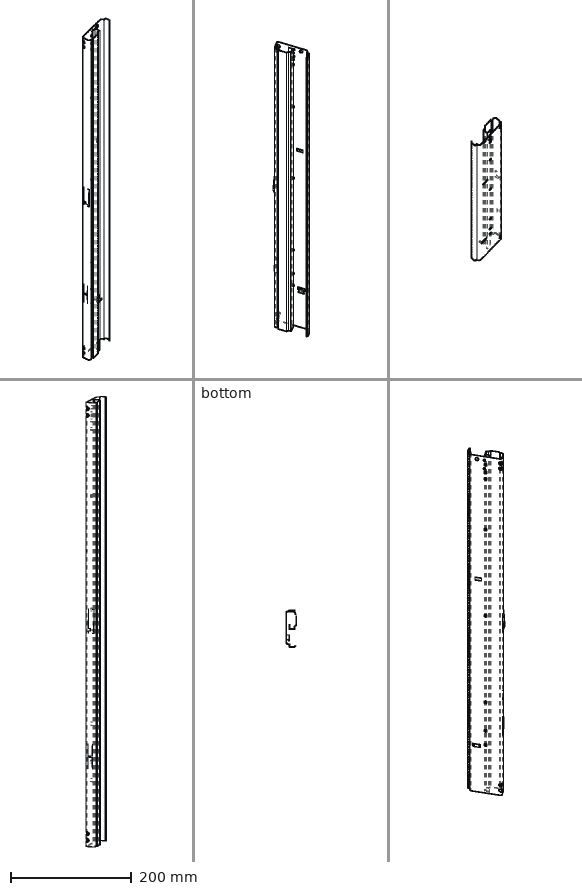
import cadquery as cq
import math

length = 750.0
width = 18.0
depth = 62.0
latch_height = 1.9
sheet = 1.5

left = -width / 2
right = width / 2
back = depth / 2
front = -depth / 2 + latch_height
bottom = -length / 2
top = length / 2

step_depth = 4.5
step_x = left + 5.0
flange_end_x = 5.0
lip_reach = 2.0
housing_right = right - sheet
return_end_y = front + 6.0
front_left_radius = 3.0
front_right_radius = 4.5
left_back_radius = 4.5
step_radius = 2.0

seam_gap = 2.0
strip_back_y = 1.5
strip_lip_end_y = -7.0
strip_jog_x = right - 3.0
strip_jog_start_y = strip_back_y - 4.5
strip_jog_end_y = strip_back_y - 7.5

row_y = -1.1
row_diameter = 5.0
row_heights = [357.0, 340.0, 325.5, 212.0, 20.0, -172.5, -236.0, -268.0]
pilot_diameter = 4.0
pilot_centres = [(1.0, 367.0), (1.0, 348.0)]
locating_hole_diameter = 6.0
locating_hole_centre = (13.5, 367.0)

corner_hole_diameter = 7.0
corner_hole_length = 7.5
corner_hole_end_distances = [10.5, 22.0]

upper_slot_size = (11.0, 6.0)
upper_slot_centre = (11.0, 100.0)
lower_slot_size = (13.5, 5.0)
lower_slot_centre = (14.0, -271.5)

lug_reach = 4.5
lug_width = 8.0
lug_height = 2.0
finger_thickness = 1.5
finger_length = 2.0

upper_latch_top = 26.0
upper_latch_bottom = -14.0
upper_latch_ramp_end = -8.0
upper_latch_left = left + 5.0
upper_latch_right = housing_right - 1.5
catch_pocket_width = 4.0
catch_pocket_height = 4.5
lower_latch_top = -202.0
lower_latch_bottom = -243.0
lower_latch_left = left + 4.5
lower_latch_right = left + 12.0
lower_latch_height = 0.9
lower_latch_groove = 2.0


def sheet_profile(path):
    """Extrude a bent sheet: the path is its left-hand face, and the thickness lies to the right of it."""
    inner = []
    for i, (x, y) in enumerate(path):
        before = path[max(i - 1, 0)]
        after = path[min(i + 1, len(path) - 1)]
        ends = [(before, (x, y)), ((x, y), after)]
        angles = [math.atan2(q[1] - p[1], q[0] - p[0]) for p, q in ends if p != q]
        half_turn = (angles[-1] - angles[0]) / 2
        normal = angles[0] + half_turn - math.pi / 2
        offset = sheet / math.cos(half_turn)
        inner.append((x + offset * math.cos(normal), y + offset * math.sin(normal)))
    outline = path + inner[::-1]
    return cq.Workplane("XY").workplane(offset=bottom).polyline(outline).close().extrude(length)


def round_bend(body, corner, direction, radius):
    """Round both sides of a square bend; direction points from the outer corner to the inner one."""
    x, y = corner
    body = body.edges(cq.selectors.NearestToPointSelector((x, y, 0))).fillet(radius)
    inside_radius = radius - sheet
    inside = (x + direction[0] * sheet, y + direction[1] * sheet, 0)
    return body.edges(cq.selectors.NearestToPointSelector(inside)).fillet(inside_radius)


def housing_profile():
    wall_back = back - step_depth
    body = sheet_profile([
        (housing_right, return_end_y),
        (housing_right, front),
        (left, front),
        (left, wall_back),
        (step_x, wall_back),
        (step_x, back),
        (flange_end_x, back),
        (flange_end_x + lip_reach, back - lip_reach),
    ])
    body = round_bend(body, (housing_right, front), (-1, 1), front_right_radius)
    body = round_bend(body, (left, front), (1, 1), front_left_radius)
    body = round_bend(body, (left, wall_back), (1, -1), left_back_radius)
    return round_bend(body, (step_x, back), (1, -1), step_radius)


def left_wall_plane():
    """A YZ plane just outside the left wall."""
    return cq.Workplane("YZ").workplane(offset=left - sheet / 2)


def left_wall_openings():
    """Cutters that pass through the left wall only."""
    row_centres = [(row_y, z) for z in row_heights]
    openings = [
        left_wall_plane().pushPoints(row_centres).circle(row_diameter / 2),
        left_wall_plane().pushPoints(pilot_centres).circle(pilot_diameter / 2),
        left_wall_plane().center(*locating_hole_centre).circle(locating_hole_diameter / 2),
        left_wall_plane().center(*upper_slot_centre).rect(*upper_slot_size),
        left_wall_plane().center(*lower_slot_centre).rect(*lower_slot_size),
    ]
    return [sketch.extrude(2 * sheet) for sketch in openings]


def corner_holes():
    """Cylinders along the diagonal of the front left corner."""
    holes = []
    for distance in corner_hole_end_distances:
        for z in (bottom + distance, top - distance):
            start = cq.Vector(left - sheet, front - sheet, z)
            cylinder = cq.Solid.makeCylinder(
                corner_hole_diameter / 2, corner_hole_length, start, cq.Vector(1, 1, 0)
            )
            holes.append(cq.Workplane(cylinder))
    return holes


def hooked_lug():
    y, z = lower_slot_centre
    lug_top = z - lower_slot_size[1] / 2
    base_x = left + sheet / 2
    tip_x = left + sheet + lug_reach
    lug_back = y + lug_width / 2
    outline = [
        (base_x, lug_back - lug_width),
        (tip_x, lug_back - lug_width),
        (tip_x, lug_back + finger_length),
        (tip_x - finger_thickness, lug_back + finger_length),
        (tip_x - finger_thickness, lug_back),
        (base_x, lug_back),
    ]
    plane = cq.Workplane("XY").workplane(offset=lug_top - lug_height)
    return plane.polyline(outline).close().extrude(lug_height)


def front_ridge(side, x_start, x_end):
    """Extrude a (Y, Z) side outline along X."""
    plane = cq.Workplane("YZ").workplane(offset=x_start)
    return plane.polyline(side).close().extrude(x_end - x_start)


def upper_latch():
    """A long ramp that rises downward, with a steep return and a small catch pocket."""
    root = front + sheet
    ridge = front_ridge(
        [
            (root, upper_latch_top),
            (front, upper_latch_top),
            (front - latch_height, upper_latch_ramp_end),
            (front, upper_latch_bottom),
            (root, upper_latch_bottom),
        ],
        upper_latch_left,
        upper_latch_right,
    )
    pocket = cq.Workplane("XY").box(
        catch_pocket_width, latch_height, catch_pocket_height, centered=(False, False, True)
    )
    return ridge.cut(pocket.translate((upper_latch_left, front - latch_height, upper_latch_ramp_end)))


def lower_latch():
    """Two ramps that rise toward each other, parted by a groove."""
    root = front + sheet
    crest = front - lower_latch_height
    middle = (lower_latch_top + lower_latch_bottom) / 2
    half_groove = lower_latch_groove / 2
    return front_ridge(
        [
            (root, lower_latch_top),
            (front, lower_latch_top),
            (crest, middle + half_groove),
            (front, middle + half_groove),
            (front, middle - half_groove),
            (crest, middle - half_groove),
            (front, lower_latch_bottom),
            (root, lower_latch_bottom),
        ],
        lower_latch_left,
        lower_latch_right,
    )


def make_housing():
    body = housing_profile()
    for cutter in left_wall_openings() + corner_holes():
        body = body.cut(cutter)
    for feature in (hooked_lug(), upper_latch(), lower_latch()):
        body = body.union(feature)
    return body


def make_cover_strip():
    return sheet_profile([
        (step_x, strip_lip_end_y),
        (step_x, strip_back_y),
        (strip_jog_x, strip_back_y),
        (strip_jog_x, strip_jog_start_y),
        (right, strip_jog_end_y),
        (right, return_end_y + seam_gap),
    ])


housing = make_housing()
cover_strip = make_cover_strip()

result = cq.Compound.makeCompound([housing.val(), cover_strip.val()])